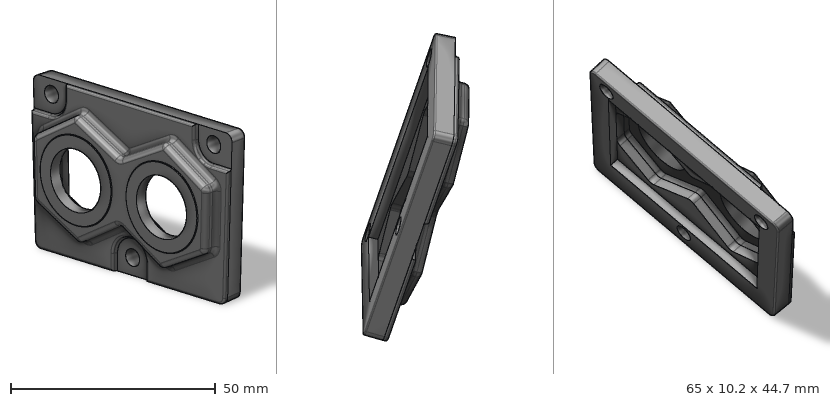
import cadquery as cq
import math


plate_top = 22.0
plate_bottom = -22.7
top_half_width = 32.55
side_slope = 2.0
corner_radius = 2.0

base_depth = 5.0
base_draft = 1.5
back_edge_radius = 0.4

cover_depth = 6.2
cover_edge_radius = 0.6
boss_depth = 10.0
boss_fillet = 1.5
boss_side_corner_radius = 2.0
seat_rise = 0.2
seat_radius = 11.75

boss_top_waist = (0, 9.1)
boss_top_peak = (14.5, 16.6)
boss_upper_side = (28.5, 8.05)
boss_lower_side = (28.1, -8.85)
boss_bottom_peak = (13.5, -16.45)
boss_bottom_waist = (0, -8.45)

bore_radius = 8.2
bore_x = 14.05
screw_radius = 2.3
upper_screw_x = 26.5
screw_z = 18.0
recess_radius = 5.45
recess_floor_radius = 0.5

bores = [(-bore_x, 0), (bore_x, 0)]
screws = [(-upper_screw_x, screw_z), (upper_screw_x, screw_z), (0, -screw_z)]

cavity_wall = 2.85
cavity_depth = 6.75
cavity_corner_radius = 2.0
pocket_depth = 2.4
pocket_half_height = 14.95

outside = 39.0
tolerance = 0.01


def sketch(depth):
    """Sketch plane parallel to the back face; extruding from it goes to the front."""
    return cq.Workplane("XZ", origin=(0, -depth, 0))


def cylinders(places, radius, start, end):
    return sketch(start).pushPoints(places).circle(radius).extrude(end - start)


def plate_outline(depth):
    bottom_half_width = top_half_width - (plate_top - plate_bottom) * math.tan(math.radians(side_slope))
    return sketch(depth).polyline([
        (-top_half_width, plate_top),
        (top_half_width, plate_top),
        (bottom_half_width, plate_bottom),
        (-bottom_half_width, plate_bottom),
    ]).close()


def boss_outline(depth):
    right_side = [boss_top_peak, boss_upper_side, boss_lower_side, boss_bottom_peak]
    left_side = [(-x, z) for x, z in reversed(right_side)]
    return sketch(depth).polyline(
        [boss_top_waist] + right_side + [boss_bottom_waist] + left_side
    ).close()


def make_cavity():
    """Double hexagon inside the boss, opening into a trapezoid pocket at the back."""
    hexagons = boss_outline(0).offset2D(-cavity_wall, "intersection").extrude(cavity_depth)
    hexagons = hexagons.edges("|Y").fillet(cavity_corner_radius)

    upper_x, upper_z = boss_upper_side
    lower_x, lower_z = boss_lower_side
    lean = (upper_x - lower_x) / (upper_z - lower_z)
    pocket_top_x = upper_x - cavity_wall + lean * (pocket_half_height - upper_z)
    pocket_bottom_x = pocket_top_x - lean * 2 * pocket_half_height
    pocket = sketch(0).polyline([
        (-pocket_top_x, pocket_half_height),
        (pocket_top_x, pocket_half_height),
        (pocket_bottom_x, -pocket_half_height),
        (-pocket_bottom_x, -pocket_half_height),
    ]).close().extrude(pocket_depth)
    return hexagons.union(pocket)


def make_recesses():
    """Cutters for the three screw recesses, each with a rounded edge around its floor."""
    height = boss_depth - base_depth
    diagonal = recess_radius * math.sqrt(0.5)

    right_corner = (
        sketch(base_depth)
        .moveTo(upper_screw_x - recess_radius, outside)
        .lineTo(upper_screw_x - recess_radius, screw_z)
        .threePointArc(
            (upper_screw_x - diagonal, screw_z - diagonal),
            (upper_screw_x, screw_z - recess_radius),
        )
        .lineTo(outside, screw_z - recess_radius)
        .lineTo(outside, outside)
        .close()
        .extrude(height)
    )
    bottom_slot = (
        sketch(base_depth)
        .moveTo(-recess_radius, -outside)
        .lineTo(-recess_radius, -screw_z)
        .threePointArc((0, recess_radius - screw_z), (recess_radius, -screw_z))
        .lineTo(recess_radius, -outside)
        .close()
        .extrude(height)
    )
    right_corner = right_corner.faces(">Y").edges().fillet(recess_floor_radius)
    bottom_slot = bottom_slot.faces(">Y").edges().fillet(recess_floor_radius)
    return [right_corner, right_corner.mirror("YZ"), bottom_slot]


def make_boss():
    """Double-hexagon block with rounded corners, standing on the base plane."""
    boss = boss_outline(base_depth).extrude(boss_depth - base_depth)
    between_peak_and_side = (boss_top_peak[0] + boss_lower_side[0]) / 2
    corners = boss.edges("|Y").vals()
    side_corners = [edge for edge in corners if abs(edge.Center().x) > between_peak_and_side]
    boss = boss.newObject(side_corners).fillet(boss_side_corner_radius)

    corners = boss.edges("|Y").vals()
    inner_corners = [edge for edge in corners if abs(edge.Center().x) < between_peak_and_side]
    return boss.newObject(inner_corners).fillet(boss_fillet)


def face_around_boss(cover):
    """The flat front face of the cover that surrounds the boss."""
    for face in cover.faces("%PLANE").vals():
        if face.innerWires() and abs(face.Center().y + cover_depth) < tolerance:
            return face


def make_base(cavity):
    base = plate_outline(base_depth).extrude(-base_depth, taper=base_draft)
    base = base.edges("not(<Y or >Y)").fillet(corner_radius)
    base = base.faces(">Y").edges().fillet(back_edge_radius)
    return base.cut(cavity).cut(cylinders(screws, screw_radius, 0, base_depth))


def make_cover(cavity):
    cover = plate_outline(base_depth).extrude(cover_depth - base_depth)
    cover = cover.edges("|Y").fillet(corner_radius)
    cover = cover.union(make_boss())

    boss_foot = face_around_boss(cover).innerWires()[0].Edges()
    cover = cover.newObject(boss_foot).fillet(boss_fillet)
    cover = cover.faces("<Y").edges().fillet(boss_fillet)

    for recess in make_recesses():
        cover = cover.cut(recess)
    front_rim = face_around_boss(cover).outerWire().Edges()
    cover = cover.newObject(front_rim).fillet(cover_edge_radius)

    seats = sketch(boss_depth).pushPoints(bores).circle(seat_radius).extrude(seat_rise, taper=45)
    cover = cover.union(seats).cut(cavity)
    return cover.cut(cylinders(bores, bore_radius, 0, boss_depth + seat_rise))


cavity = make_cavity()
base = make_base(cavity)
cover = make_cover(cavity)
result = cq.Compound.makeCompound([*base.solids().vals(), *cover.solids().vals()])